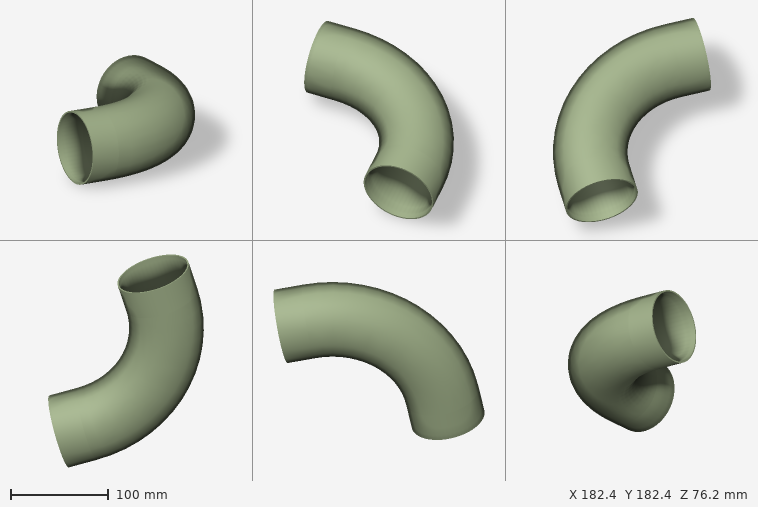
import cadquery as cq

overall_length = 182.4
outer_diameter = 76.2
inner_diameter = 73.1
straight_length = 30.0
bend_angle = 90

bend_radius = overall_length - straight_length - outer_diameter / 2


def elbow_body(diameter):
    """Solid round elbow with the bend axis on Z and straight ends toward -X and -Y."""
    end_x = (
        cq.Workplane("YZ")
        .center(bend_radius, 0)
        .circle(diameter / 2)
        .extrude(-straight_length)
    )
    end_y = (
        cq.Workplane("XZ")
        .center(bend_radius, 0)
        .circle(diameter / 2)
        .extrude(straight_length)
    )
    bend = (
        cq.Workplane("XZ")
        .center(bend_radius, 0)
        .circle(diameter / 2)
        .revolve(bend_angle, (-bend_radius, 0), (-bend_radius, 1))
    )
    return bend.union(end_x).union(end_y)


result = elbow_body(outer_diameter).cut(elbow_body(inner_diameter))